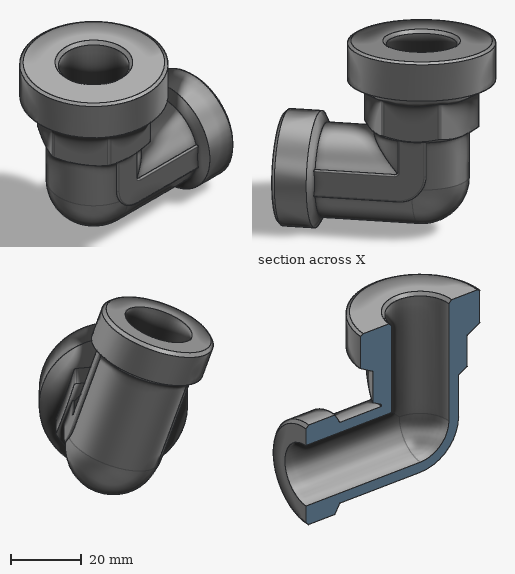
import cadquery as cq
import math

end_distance = 40.0
pipe_radius = 13.55
bore_radius = 10.0
bore_chamfer = 1.0
cone_slope = math.tan(math.radians(30))

flange_radius = 20.95
flange_bottom = 28.65
flange_chamfer = 1.0

hex_corner_diameter = 33.3
hex_bottom = 13.95
hex_edge_fillet = 1.0

collar_radius = 16.65
collar_start = 29.8
collar_chamfer = 1.0

pad_half_width = 4.0
pad_edge_fillet = 0.5
pad_inner_radius = 1.0


def revolve_about_z(points):
    """Solid of revolution from (radius, height) points."""
    return cq.Workplane("XZ").polyline(points).close().revolve(360, (0, 0, 0), (0, 1, 0))


def turn_to_y(solid):
    """Turn a solid built along +Z so that it lies along +Y."""
    return solid.rotate((0, 0, 0), (1, 0, 0), -90)


def elbow(radius):
    """Two round legs joined by a ball, reaching both end faces."""
    leg = cq.Workplane("XY").circle(radius).extrude(end_distance)
    ball = cq.Workplane("XY").sphere(radius)
    return ball.union(leg).union(turn_to_y(leg))


def flange():
    """Flange disc with a cone below it that tapers to the pipe."""
    cone_bottom = flange_bottom - (flange_radius - pipe_radius) * cone_slope
    return revolve_about_z([
        (0, cone_bottom),
        (pipe_radius, cone_bottom),
        (flange_radius, flange_bottom),
        (flange_radius, end_distance - flange_chamfer * cone_slope),
        (flange_radius - flange_chamfer, end_distance),
        (0, end_distance),
    ])


def hexagon():
    """Hexagon with rounded corners and a conical chamfer at its lower end."""
    height = flange_bottom - hex_bottom
    prism = (
        cq.Workplane("XY", origin=(0, 0, hex_bottom))
        .transformed(rotate=(0, 0, 90))
        .polygon(6, hex_corner_diameter)
        .extrude(height)
        .edges("|Z")
        .fillet(hex_edge_fillet)
    )
    cone = revolve_about_z([
        (0, hex_bottom),
        (pipe_radius, hex_bottom),
        (pipe_radius + height / cone_slope, flange_bottom),
        (0, flange_bottom),
    ])
    return prism.intersect(cone)


def collar():
    """Collar with a chamfered end and a steep cone down to the pipe."""
    cone_start = collar_start - (collar_radius - pipe_radius) * cone_slope
    profile = revolve_about_z([
        (0, cone_start),
        (pipe_radius, cone_start),
        (collar_radius, collar_start),
        (collar_radius, end_distance - collar_chamfer),
        (collar_radius - collar_chamfer, end_distance),
        (0, end_distance),
    ])
    return turn_to_y(profile)


def pads():
    """L-shaped bar through the pipes whose side faces form the two flat pads."""
    w = pad_half_width
    inner_end = w + pad_inner_radius
    bend = w - 2 * w * math.sqrt(0.5)
    return (
        cq.Workplane("YZ")
        .moveTo(w, -w)
        .lineTo(collar_start, -w)
        .lineTo(collar_start, w)
        .lineTo(inner_end, w)
        .radiusArc((w, inner_end), pad_inner_radius)
        .lineTo(w, flange_bottom)
        .lineTo(-w, flange_bottom)
        .lineTo(-w, w)
        .threePointArc((bend, bend), (w, -w))
        .close()
        .extrude(pipe_radius, both=True)
        .faces("<X or >X")
        .edges()
        .fillet(pad_edge_fillet)
    )


def bore():
    """Elbow passage with a chamfered mouth in the flange."""
    mouth = revolve_about_z([
        (0, end_distance - bore_chamfer),
        (bore_radius, end_distance - bore_chamfer),
        (bore_radius + bore_chamfer, end_distance),
        (0, end_distance),
    ])
    return elbow(bore_radius).union(mouth)


body = elbow(pipe_radius).union(pads()).union(hexagon()).union(flange()).union(collar())
result = body.cut(bore())